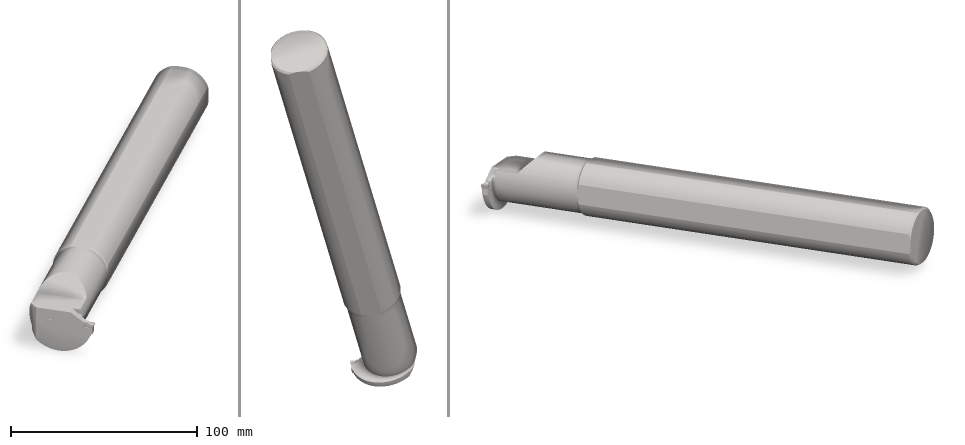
import cadquery as cq


overall_length = 251.0
shank_diameter = 32.0
neck_diameter = 30.0
neck_radius = neck_diameter / 2
flat_distance = neck_radius
neck_length = 53.5
shank_chamfer_length = 1.0
shank_chamfer_depth = (shank_diameter - neck_diameter) / 2

tip_overhang = 0.38
head_front = tip_overhang
flange_thickness = 3.3
flange_back = head_front + flange_thickness
flange_radius = 18.8
flange_offset = 3.0
corner_chamfer_x = -9.8
floor_height = 6.0
ramp_top_y = 26.0
floor_fillet = 2.5

insert_center_x = 9.8
insert_half_length = 24.9 / 2
insert_top = 0.8
insert_height = 6.5
insert_bottom = insert_top - insert_height
end_relief = 0.63
body_half_length = insert_half_length - end_relief
land_half_length = 8.8
tip_length = 2.3
tip_height = 2.3
tip_inner = insert_half_length - tip_length
tip_width = flange_thickness + 2 * tip_overhang

clearance_start_x = 9.5
jaw_end_x = 17.3
clearance_back = 4.8

waist_length = insert_center_x + tip_inner - jaw_end_x
waist_depth = 0.5

margin = 12.5


def along_y(start):
    """XZ workplane at y = start, with local x along X and local y along Z."""
    return cq.Workplane("XZ", origin=(0, start, 0))


def extrude_y(profile, length):
    """Extrude an XZ profile towards +Y."""
    return profile.extrude(-length)


def make_bar():
    shank_length = overall_length - neck_length
    shank = extrude_y(along_y(neck_length).circle(shank_diameter / 2), shank_length)
    shank = shank.faces("<Y or >Y").chamfer(shank_chamfer_length, shank_chamfer_depth)
    flat_block = cq.Workplane("XY").box(
        shank_diameter, overall_length, 2 * flat_distance, centered=(False, False, True)
    ).translate((flat_distance - shank_diameter, 0, 0))
    neck = extrude_y(along_y(head_front).circle(neck_radius), neck_length - head_front)
    return shank.intersect(flat_block).union(neck)


def make_flange():
    profile = along_y(head_front).center(flange_offset, 0).circle(flange_radius)
    return extrude_y(profile, flange_thickness)


def make_top_relief():
    """Level floor at the front of the head, rising at 45 degrees to the top of the neck."""
    top = neck_radius + margin
    ramp_foot_y = ramp_top_y - (neck_radius - floor_height)
    return (
        cq.Workplane("YZ", origin=(-neck_radius - margin, 0, 0))
        .moveTo(-margin, floor_height)
        .lineTo(ramp_foot_y, floor_height)
        .lineTo(ramp_foot_y + top - floor_height, top)
        .lineTo(-margin, top)
        .close()
        .extrude(2 * (neck_radius + margin))
        .edges(cq.NearestToPointSelector((0, ramp_foot_y, floor_height)))
        .fillet(floor_fillet)
    )


def make_corner_chamfer():
    """Wedge that bevels the front corner of the head at 45 degrees on the -X side."""
    return (
        cq.Workplane("XY", origin=(0, 0, -flange_radius))
        .moveTo(corner_chamfer_x, head_front)
        .lineTo(corner_chamfer_x - margin, head_front)
        .lineTo(corner_chamfer_x - margin, head_front + margin)
        .close()
        .extrude(2 * flange_radius)
    )


def make_jaw_clearance():
    """Space above the sloping jaw, open towards +X."""
    outer_x = flange_offset + flange_radius + margin
    profile = (
        along_y(0)
        .moveTo(clearance_start_x, floor_height)
        .lineTo(jaw_end_x, insert_top)
        .lineTo(outer_x, insert_top)
        .lineTo(outer_x, floor_height)
        .close()
    )
    return extrude_y(profile, clearance_back)


def make_slot_mouth():
    """Opens the +X end of the flange down to the insert seat, beyond the end of the jaw."""
    outer_x = flange_offset + flange_radius + margin
    return cq.Workplane("XY").box(
        outer_x - jaw_end_x, clearance_back, insert_height, centered=False
    ).translate((jaw_end_x, 0, insert_bottom))


def make_insert_body():
    profile = (
        along_y(head_front)
        .moveTo(-body_half_length, insert_bottom)
        .lineTo(body_half_length, insert_bottom)
        .lineTo(body_half_length, 0)
        .lineTo(tip_inner, 0)
        .lineTo(land_half_length, insert_top)
        .lineTo(-land_half_length, insert_top)
        .lineTo(-tip_inner, 0)
        .lineTo(-body_half_length, 0)
        .close()
    )
    return extrude_y(profile, flange_thickness)


def make_tip(side):
    """Cutting tip with a relieved end face; in plan it widens from the body to the cutting edge."""
    end_profile = (
        along_y(0)
        .moveTo(side * insert_half_length, 0)
        .lineTo(side * tip_inner, 0)
        .lineTo(side * tip_inner, -tip_height)
        .lineTo(side * body_half_length, -tip_height)
        .close()
    )
    plan = (
        cq.Workplane("XY", origin=(0, 0, -tip_height))
        .moveTo(side * tip_inner, head_front)
        .lineTo(side * insert_half_length, 0)
        .lineTo(side * insert_half_length, tip_width)
        .lineTo(side * tip_inner, flange_back)
        .close()
        .extrude(tip_height)
    )
    return extrude_y(end_profile, tip_width).intersect(plan)


def make_waist_recess(start_y):
    """Shallow side recess behind the working tip, at the +X end of the insert."""
    return cq.Workplane("XY").box(
        waist_length, waist_depth, tip_height + insert_top, centered=False
    ).translate((tip_inner - waist_length, start_y, -tip_height))


def make_insert():
    insert = make_insert_body()
    for side in (-1, 1):
        insert = insert.union(make_tip(side))
    for start_y in (head_front, flange_back - waist_depth):
        insert = insert.cut(make_waist_recess(start_y))
    return insert.translate((insert_center_x, 0, 0))


insert = make_insert()
holder = (
    make_bar()
    .union(make_flange())
    .cut(make_top_relief())
    .cut(make_corner_chamfer())
    .cut(make_jaw_clearance())
    .cut(make_slot_mouth())
    .cut(insert)
)

result = cq.Compound.makeCompound([holder.val(), insert.val()])